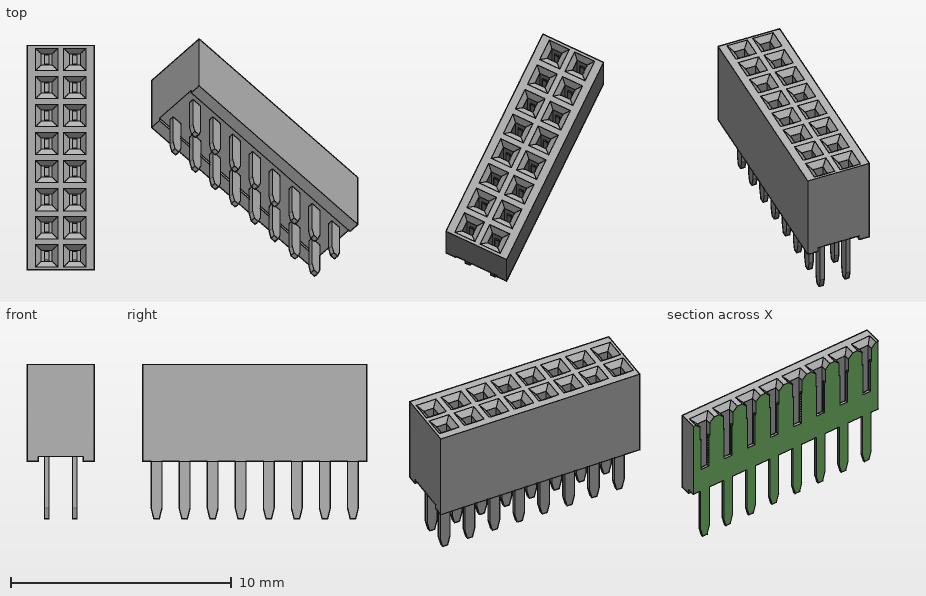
import cadquery as cq

columns = 2
rows = 8
pitch = 1.27

housing_width = 3.05
housing_length = rows * pitch
housing_height = 4.4
foot_width = 0.51
foot_height = 0.22

socket_mouth = 1.01
socket_bore = 0.5
funnel_depth = (socket_mouth - socket_bore) / 2
socket_depth = 3.05

contact_thickness = 0.21
fork_gap = 0.4
prong_width = (socket_bore - fork_gap) / 2
fork_top_depth = 1.02
crotch_height = 0.2

pin_width = 0.5
pin_length = 2.6
pin_tip_width = 0.25
pin_taper_length = 0.49

contact_positions = [
    ((column - (columns - 1) / 2) * pitch, (row - (rows - 1) / 2) * pitch)
    for column in range(columns)
    for row in range(rows)
]


def make_housing():
    """Block with a channel along Y underneath, leaving a foot on each side."""
    block = cq.Workplane("XY").box(
        housing_width, housing_length, housing_height, centered=(True, True, False)
    )
    channel = cq.Workplane("XY").box(
        housing_width - 2 * foot_width, housing_length, foot_height, centered=(True, True, False)
    )
    return block.cut(channel)


def make_socket():
    """Square blind bore with a funnel mouth, centred on the Z axis."""
    bore = (
        cq.Workplane("XY")
        .workplane(offset=housing_height)
        .rect(socket_bore, socket_bore)
        .extrude(-socket_depth)
    )
    funnel = (
        cq.Workplane("XY")
        .workplane(offset=housing_height)
        .rect(socket_mouth, socket_mouth)
        .workplane(offset=-funnel_depth)
        .rect(socket_bore, socket_bore)
        .loft(ruled=True)
    )
    return bore.union(funnel)


def extrude_contact(outline):
    """Give a closed YZ outline the contact thickness, centred on X = 0."""
    return outline.close().extrude(contact_thickness / 2, both=True)


def make_fork():
    """U-shaped contact with 45 degree lead-ins on top of its two prongs."""
    half_bore = socket_bore / 2
    half_gap = fork_gap / 2
    floor = housing_height - socket_depth
    crotch = floor + crotch_height
    prong_top = housing_height - fork_top_depth
    lead_in_bottom = prong_top - prong_width
    outline = cq.Workplane("YZ").polyline([
        (-half_bore, floor),
        (half_bore, floor),
        (half_bore, prong_top),
        (half_gap, lead_in_bottom),
        (half_gap, crotch),
        (-half_gap, crotch),
        (-half_gap, lead_in_bottom),
        (-half_bore, prong_top),
    ])
    return extrude_contact(outline)


def make_pin():
    """Flat pin from the channel roof down to a tip tapered in Y."""
    half_width = pin_width / 2
    half_tip = pin_tip_width / 2
    taper_start = pin_taper_length - pin_length
    outline = cq.Workplane("YZ").polyline([
        (-half_width, foot_height),
        (-half_width, taper_start),
        (-half_tip, -pin_length),
        (half_tip, -pin_length),
        (half_width, taper_start),
        (half_width, foot_height),
    ])
    return extrude_contact(outline)


housing = make_housing()
socket = make_socket()
fork = make_fork()
pin = make_pin()

for x, y in contact_positions:
    position = (x, y, 0)
    housing = housing.cut(socket.translate(position))
    housing = housing.union(fork.translate(position))
    housing = housing.union(pin.translate(position))

result = housing